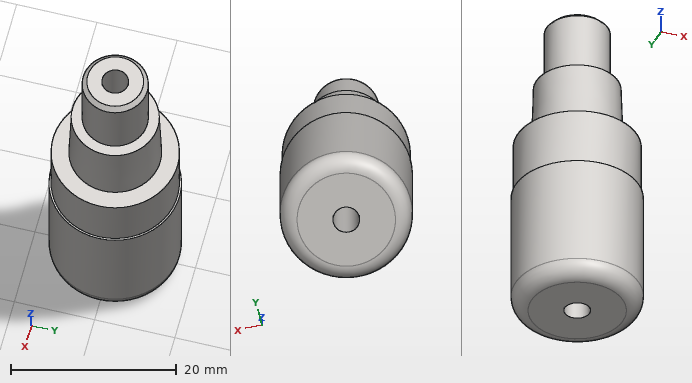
import cadquery as cq

total_height = 41.25
bore_radius = 1.6

cap_radius = 8.0
cap_height = 16.5
cap_edge_radius = 2.05

collar_radius = 7.75
collar_top = 24.0
shank_base_radius = 5.6
shank_top_radius = 5.32
shank_top = 32.5
tip_radius = 4.0
tip_chamfer = 0.58


def make_cap():
    """Cylinder with a rounded bottom edge, bored through along its axis."""
    body = cq.Workplane("XY").circle(cap_radius).extrude(cap_height)
    body = body.faces("<Z").edges().fillet(cap_edge_radius)
    bore = cq.Workplane("XY").circle(bore_radius).extrude(cap_height)
    return body.cut(bore)


def make_plunger():
    """Collar, tapered shank and chamfered tip, bored through along the axis."""
    profile = (
        cq.Workplane("XZ")
        .moveTo(bore_radius, cap_height)
        .lineTo(collar_radius, cap_height)
        .lineTo(collar_radius, collar_top)
        .lineTo(shank_base_radius, collar_top)
        .lineTo(shank_top_radius, shank_top)
        .lineTo(tip_radius, shank_top)
        .lineTo(tip_radius, total_height - tip_chamfer)
        .lineTo(tip_radius - tip_chamfer, total_height)
        .lineTo(bore_radius, total_height)
        .close()
    )
    return profile.revolve(360, (0, 0, 0), (0, 1, 0))


cap = make_cap()
plunger = make_plunger()
result = cq.Compound.makeCompound([cap.solids().val(), plunger.val()])